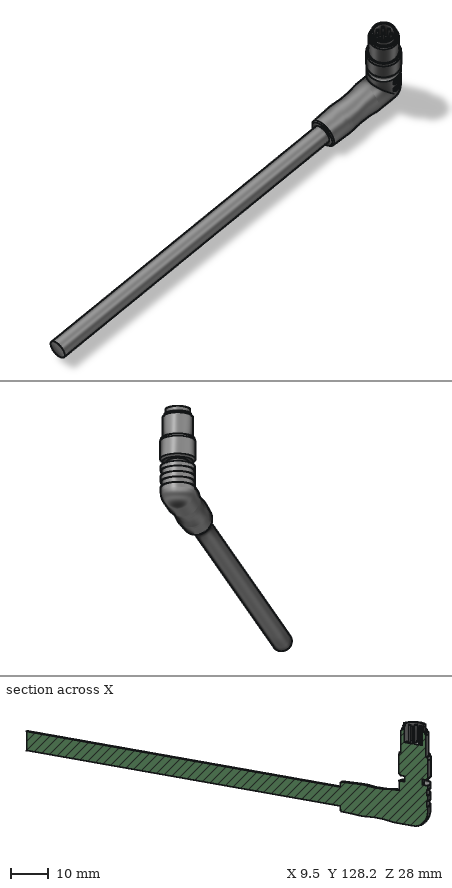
import cadquery as cq
import math

overall_length = 128.2
overall_height = 28.0

body_diameter = 9.2
body_radius = body_diameter / 2
arm_axis_z = body_radius
body_top_z = 11.9
arm_straight_end = 6.3
waist_position = 12.0
waist_diameter = 8.3
collar_start = 15.8
collar_diameter = 8.8
collar_end = 17.0
arm_end = 23.3
arm_end_diameter = 8.3
arm_end_chamfer = 0.4
cable_diameter = 5.4
nut_diameter = 9.5
cable_end = overall_length - nut_diameter / 2

groove_width = 1.5
groove_depth = 0.3
groove_front = 0.8
groove_end_rounding = 0.6
groove_heights = (6.8, 9.9)

neck_diameter = 5.8
nut_bottom_z = 13.3
nut_chamfer = 0.6
nut_top_z = 19.7
nut_shoulder_height = 0.8
nut_shoulder_width = 0.3
sleeve_diameter = 8.2
sleeve_top_z = 26.1
sleeve_chamfer = 0.4
ledge_diameter = 7.3
ledge_z = 26.5
rim_diameter = 6.7
notch_width = 0.8
notch_depth = 0.6

socket_diameter = 5.6
socket_depth = 5.1
pin_diameter = 0.6
pin_recess = 0.4
pin_circle_radius = 1.9
outer_pin_count = 7


def make_elbow():
    """Upright cylinder closed by a ball where it meets the arm axis."""
    upright = (
        cq.Workplane("XY", origin=(0, 0, arm_axis_z))
        .circle(body_radius)
        .extrude(body_top_z - arm_axis_z)
    )
    corner = cq.Workplane("XY", origin=(0, 0, arm_axis_z)).sphere(body_radius)
    return upright.union(corner)


def make_arm():
    """Waisted cable sleeve, revolved about the horizontal axis."""
    waist_radius = waist_diameter / 2
    end_radius = arm_end_diameter / 2
    return (
        cq.Workplane("XY", origin=(0, 0, arm_axis_z))
        .moveTo(0, 0)
        .lineTo(body_radius, 0)
        .lineTo(body_radius, -arm_straight_end)
        .threePointArc((waist_radius, -waist_position), (collar_diameter / 2, -collar_start))
        .lineTo(collar_diameter / 2, -collar_end)
        .lineTo(end_radius, -arm_end + arm_end_chamfer)
        .lineTo(end_radius - arm_end_chamfer, -arm_end)
        .lineTo(0, -arm_end)
        .close()
        .revolve(360, (0, 0, 0), (0, 1, 0))
    )


def make_cable():
    return (
        cq.Workplane("XZ", origin=(0, 0, arm_axis_z))
        .circle(cable_diameter / 2)
        .extrude(cable_end)
    )


def make_groove(height):
    """Shallow band around the back of the upright, with rounded ends on both sides."""
    band = (
        cq.Workplane("XY", origin=(0, 0, height - groove_width / 2))
        .circle(body_diameter)
        .circle(body_radius - groove_depth)
        .extrude(groove_width)
    )
    groove_length = body_diameter + groove_front
    reach = (
        cq.Workplane("XY")
        .box(2 * body_diameter, groove_length, groove_width)
        .edges("|X and <Y")
        .fillet(groove_end_rounding)
        .translate((0, groove_length / 2 - groove_front, height))
    )
    return band.intersect(reach)


def make_plug():
    """Neck, coupling nut, sleeve, ledge and rim as one turned profile."""
    nut_radius = nut_diameter / 2
    sleeve_radius = sleeve_diameter / 2
    profile = [
        (0, arm_axis_z),
        (neck_diameter / 2, arm_axis_z),
        (neck_diameter / 2, nut_bottom_z),
        (nut_radius - nut_chamfer, nut_bottom_z),
        (nut_radius, nut_bottom_z + nut_chamfer),
        (nut_radius, nut_top_z - nut_shoulder_height),
        (nut_radius - nut_shoulder_width, nut_top_z),
        (sleeve_radius, nut_top_z),
        (sleeve_radius, sleeve_top_z - sleeve_chamfer),
        (sleeve_radius - sleeve_chamfer, sleeve_top_z),
        (ledge_diameter / 2, sleeve_top_z),
        (ledge_diameter / 2, ledge_z),
        (rim_diameter / 2, ledge_z),
        (rim_diameter / 2, overall_height),
        (0, overall_height),
    ]
    return cq.Workplane("XZ").polyline(profile).close().revolve(360, (0, 0, 0), (0, 1, 0))


def make_socket():
    return (
        cq.Workplane("XY", origin=(0, 0, overall_height - socket_depth))
        .circle(socket_diameter / 2)
        .extrude(socket_depth)
    )


def make_pins():
    """One central contact and a ring of contacts, the first of them at the back."""
    centres = [(0, 0)]
    for index in range(outer_pin_count):
        angle = math.radians(90 + index * 360 / outer_pin_count)
        centres.append((pin_circle_radius * math.cos(angle), pin_circle_radius * math.sin(angle)))
    return (
        cq.Workplane("XY", origin=(0, 0, overall_height - socket_depth))
        .pushPoints(centres)
        .circle(pin_diameter / 2)
        .extrude(socket_depth - pin_recess)
    )


def make_notch():
    """Small notch in the front of the rim's top edge."""
    return (
        cq.Workplane("XY", origin=(0, -rim_diameter / 2, overall_height - notch_depth / 2))
        .box(notch_width, rim_diameter - socket_diameter, notch_depth)
    )


elbow = make_elbow()
for groove_height in groove_heights:
    elbow = elbow.cut(make_groove(groove_height))

plug = make_plug().cut(make_socket()).cut(make_notch())
result = elbow.union(make_arm()).union(make_cable()).union(plug).union(make_pins())